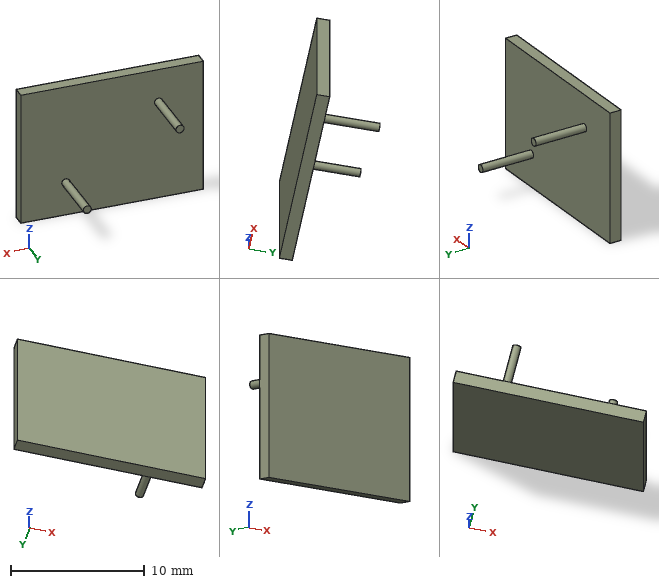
import cadquery as cq

plate_width = 14.7
plate_height = 11.0
plate_thickness = 1.0

pin_diameter = 0.65
pin_length = 4.5
pin_spacing_x = 7.47
pin_spacing_z = 5.44
pin_centres = [
    (-pin_spacing_x / 2, pin_spacing_z / 2),
    (pin_spacing_x / 2, -pin_spacing_z / 2),
]


def make_plate():
    """Plate centred on X and Z, with its front face at Y = 0."""
    return cq.Workplane("XY").box(
        plate_width, plate_thickness, plate_height, centered=(True, False, True)
    )


def make_pin(x, z):
    """Pin along +Y, starting on the back face of the plate."""
    base = cq.Vector(x, plate_thickness, z)
    return cq.Solid.makeCylinder(pin_diameter / 2, pin_length, base, cq.Vector(0, 1, 0))


result = make_plate()
for centre_x, centre_z in pin_centres:
    result = result.union(cq.Workplane(obj=make_pin(centre_x, centre_z)))